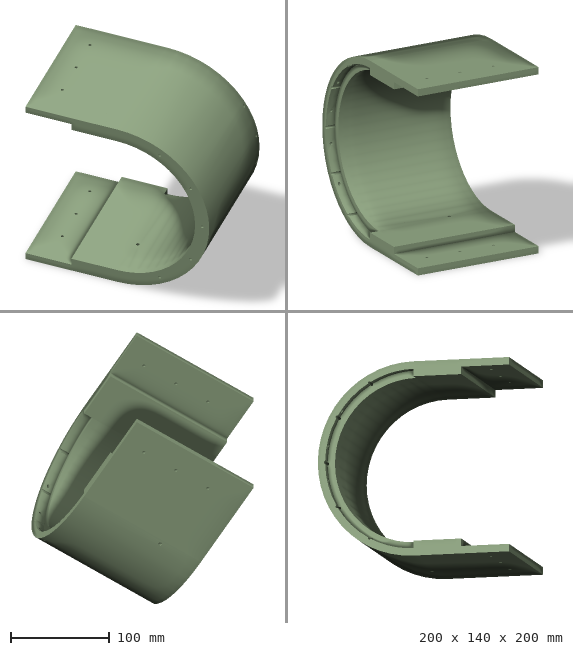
import cadquery as cq
import math

outer_radius = 100.0
width = 140.0
wall = 15.5
arm_length = 100.0

lap_length = 50.0
lap_thickness = wall / 2

axial_hole_diameter = 3.0
axial_hole_radius = outer_radius - wall / 2
axial_hole_angles = [-60, -30, 0, 30, 60]

recess_width = 10.0
recess_radius = outer_radius - wall / 2

rim_hole_diameter = 3.2
rim_hole_heights = [-55.8, -17.5, 17.5, 52.8]

lap_hole_diameter = 3.0
lap_hole_x = lap_length / 2
lap_hole_first_y = 38.8
lap_hole_pitch = 38.5
lap_hole_count = 3

drain_diameter = 3.5
drain_x = arm_length + 4.5
drain_y = 45.8

inner_radius = outer_radius - wall
lap_inner_z = outer_radius - lap_thickness
bend_end_x = arm_length + outer_radius


def make_body():
    """U profile in the XZ plane, extruded from Y = 0 to Y = width."""
    return (
        cq.Workplane("XZ")
        .moveTo(0, outer_radius)
        .lineTo(arm_length, outer_radius)
        .threePointArc((bend_end_x, 0), (arm_length, -outer_radius))
        .lineTo(0, -outer_radius)
        .lineTo(0, -lap_inner_z)
        .lineTo(lap_length, -lap_inner_z)
        .lineTo(lap_length, -inner_radius)
        .lineTo(arm_length, -inner_radius)
        .threePointArc((arm_length + inner_radius, 0), (arm_length, inner_radius))
        .lineTo(lap_length, inner_radius)
        .lineTo(lap_length, lap_inner_z)
        .lineTo(0, lap_inner_z)
        .close()
        .extrude(-width)
    )


def make_recess():
    """Half disc that thins the bend from inside; the arms keep their thickness."""
    return (
        cq.Workplane("XZ", origin=(arm_length, width - recess_width, 0))
        .moveTo(0, recess_radius)
        .threePointArc((recess_radius, 0), (0, -recess_radius))
        .close()
        .extrude(-recess_width)
    )


def make_axial_holes():
    points = []
    for angle in axial_hole_angles:
        x = axial_hole_radius * math.cos(math.radians(angle))
        z = axial_hole_radius * math.sin(math.radians(angle))
        points.append((x, z))
    return (
        cq.Workplane("XZ", origin=(arm_length, 0, 0))
        .pushPoints(points)
        .circle(axial_hole_diameter / 2)
        .extrude(-width)
    )


def make_rim_holes():
    rim_hole_y = width - recess_width / 2
    return (
        cq.Workplane("YZ", origin=(arm_length, 0, 0))
        .pushPoints([(rim_hole_y, height) for height in rim_hole_heights])
        .circle(rim_hole_diameter / 2)
        .extrude(outer_radius)
    )


def make_lap_holes():
    points = [(lap_hole_x, lap_hole_first_y + i * lap_hole_pitch) for i in range(lap_hole_count)]
    return (
        cq.Workplane("XY", origin=(0, 0, -outer_radius))
        .pushPoints(points)
        .circle(lap_hole_diameter / 2)
        .extrude(2 * outer_radius)
    )


def make_drain_hole():
    return (
        cq.Workplane("XY", origin=(drain_x, drain_y, -outer_radius))
        .circle(drain_diameter / 2)
        .extrude(outer_radius)
    )


result = (
    make_body()
    .cut(make_recess())
    .cut(make_axial_holes())
    .cut(make_rim_holes())
    .cut(make_lap_holes())
    .cut(make_drain_hole())
)